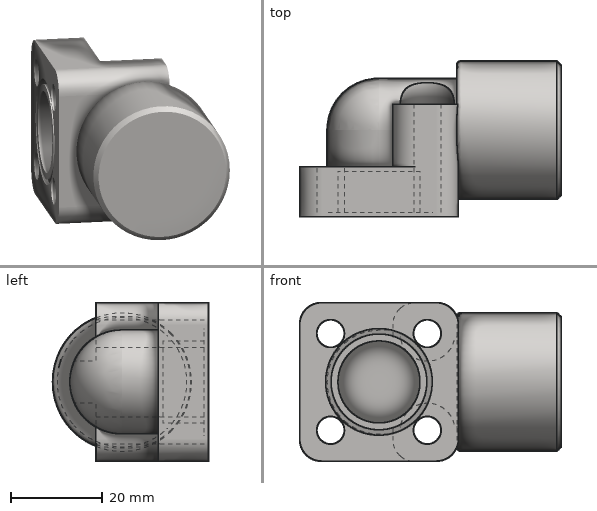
import cadquery as cq

flange_side = 34.8
flange_thickness = 11.0
corner_radius = 4.8

pad_start_x = 3.0
pad_height = 24.7

elbow_radius = 11.4
outlet_axis_y = 19.0

collar_radius = 15.2
collar_start_x = 17.0
collar_end_x = 40.0
collar_fillet = 1.0
collar_chamfer = 1.0

bolt_hole_diameter = 6.0
bolt_spacing = 21.2
bolt_head_diameter = 12.0

port_diameter = 18.0
port_depth = 10.0
groove_inner_diameter = 21.0
groove_outer_diameter = 23.4
groove_depth = 1.0


def cylinder_along_y(diameter, start_y, end_y, x=0.0, z=0.0):
    """Solid cylinder parallel to Y between two Y positions."""
    base = cq.Vector(x, start_y, z)
    direction = cq.Vector(0, 1, 0)
    return cq.Workplane(cq.Solid.makeCylinder(diameter / 2, end_y - start_y, base, direction))


def cylinder_along_x(radius, start_x, end_x):
    """Solid cylinder on the outlet axis between two X positions."""
    return (
        cq.Workplane("YZ", origin=(start_x, outlet_axis_y, 0))
        .circle(radius)
        .extrude(end_x - start_x)
    )


def rounded_block(start_x, end_x, height):
    """Block of the full flange height in Z, from Y = 0, with its four Y edges rounded."""
    return (
        cq.Workplane("XY")
        .box(end_x - start_x, height, flange_side, centered=(False, False, True))
        .translate((start_x, 0, 0))
        .edges("|Y")
        .fillet(corner_radius)
    )


def make_flange():
    half_side = flange_side / 2
    plate = rounded_block(-half_side, half_side, flange_thickness)
    pad = rounded_block(pad_start_x, half_side, pad_height)
    return plate.union(pad)


def make_corner():
    """Quarter sphere that closes the outside of the bend, flush with the end of each leg."""
    return (
        cq.Workplane("YZ")
        .moveTo(0, -elbow_radius)
        .threePointArc((elbow_radius, 0), (0, elbow_radius))
        .close()
        .revolve(90, (0, -elbow_radius), (0, elbow_radius))
        .translate((0, outlet_axis_y, 0))
    )


def make_elbow():
    leg_end_x = flange_side / 2
    inlet_leg = cylinder_along_y(2 * elbow_radius, 0, outlet_axis_y)
    outlet_leg = cylinder_along_x(elbow_radius, 0, leg_end_x)
    filling = cq.Workplane("XY").box(
        leg_end_x, outlet_axis_y, 2 * elbow_radius, centered=(False, False, True)
    )
    return inlet_leg.union(filling).union(outlet_leg).union(make_corner())


def make_collar():
    collar = cylinder_along_x(collar_radius, collar_start_x, collar_end_x)
    collar = collar.faces("<X").edges().fillet(collar_fillet)
    return collar.faces(">X").edges().chamfer(collar_chamfer)


def cut_bolt_holes(body):
    elbow_top_y = outlet_axis_y + elbow_radius
    offset = bolt_spacing / 2
    for z in (-offset, offset):
        for x, seat_y in ((-offset, flange_thickness), (offset, pad_height)):
            body = body.cut(cylinder_along_y(bolt_hole_diameter, 0, seat_y, x, z))
        body = body.cut(cylinder_along_y(bolt_head_diameter, pad_height, elbow_top_y, offset, z))
    return body


def cut_port(body):
    groove_core = cylinder_along_y(groove_inner_diameter, 0, groove_depth)
    groove = cylinder_along_y(groove_outer_diameter, 0, groove_depth).cut(groove_core)
    port = cylinder_along_y(port_diameter, 0, port_depth)
    return body.cut(groove).cut(port)


body = make_flange().union(make_elbow()).union(make_collar())
result = cut_port(cut_bolt_holes(body))